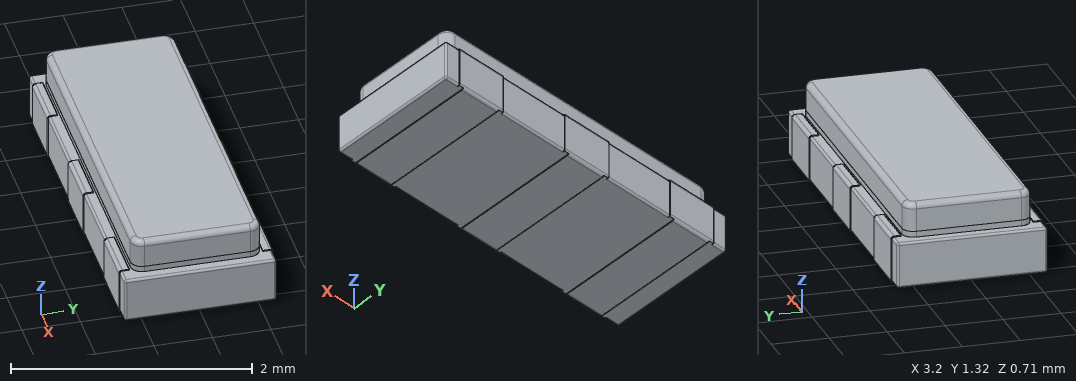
import cadquery as cq

base_length = 3.2
base_width = 1.3
base_height = 0.4
base_fillet = 0.02

plating = 0.01
terminal_width = 0.5
terminal_pitch = 1.2
terminal_reach = 0.08
foot_width = 0.4

lid_length = 3.0
lid_width = 1.1
lid_corner_radius = 0.1
lid_top_fillet = 0.05
lid_rise = 0.3
pedestal_height = 0.05


def rounded_block(margin):
    """Base block with rounded edges, grown outward by margin on every side."""
    return (
        cq.Workplane("XY", origin=(0, 0, -margin))
        .box(
            base_length + 2 * margin,
            base_width + 2 * margin,
            base_height + 2 * margin,
            centered=(True, True, False),
        )
        .edges()
        .fillet(base_fillet + margin)
    )


def lid_prism(bottom, height):
    """Prism with the rounded outline of the lid."""
    return (
        cq.Workplane("XY", origin=(0, 0, bottom))
        .rect(lid_length, lid_width)
        .extrude(height)
        .edges("|Z")
        .fillet(lid_corner_radius)
    )


def cut_to_plating(blank):
    """The part of a blank that lies within the plated envelope of the base."""
    return blank.intersect(rounded_block(plating))


def terminal(x, side):
    """Plating over one long side and a short way onto the top of the base."""
    depth = terminal_reach + plating
    y = side * (base_width / 2 - terminal_reach + depth / 2)
    strip = cq.Workplane("XY", origin=(x, y, 0)).box(
        terminal_width, depth, base_height + plating, centered=(True, True, False)
    )
    return cut_to_plating(strip)


def foot(x):
    """Narrower strip under the base, joining the two terminals at x."""
    strip = cq.Workplane("XY", origin=(x, 0, -plating)).box(
        foot_width, base_width + 2 * plating, 2 * plating, centered=(True, True, False)
    )
    return cut_to_plating(strip)


def make_base():
    """Ceramic base with its pedestal, six plated terminals and three feet."""
    base = rounded_block(0).union(lid_prism(base_height, pedestal_height))
    for x in (-terminal_pitch, 0, terminal_pitch):
        base = base.union(foot(x))
        for side in (-1, 1):
            base = base.union(terminal(x, side))
    return base.solids()


def make_lid():
    """Lid resting on the pedestal, rounded around its top."""
    lid = lid_prism(base_height + pedestal_height, lid_rise - pedestal_height)
    return lid.faces(">Z").edges().fillet(lid_top_fillet)


base = make_base()
lid = make_lid()

result = cq.Compound.makeCompound([base.val(), lid.val()])